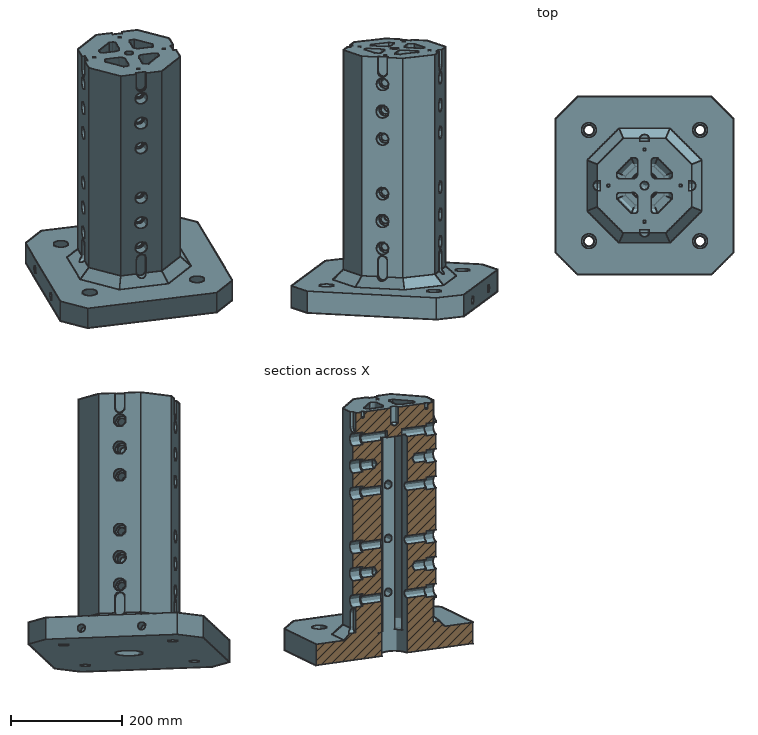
import cadquery as cq
import math

PLATE_SIZE = 320.0
PLATE_HEIGHT = 40.0
PLATE_CHAMFER = 40.0
MOUNT_OFFSET = 100.0
MOUNT_DIAMETER = 18.0
MOUNT_BORE_DIAMETER = 26.0
MOUNT_BORE_DEPTH = 25.0
LIFT_OFFSET = 55.0
LIFT_HEIGHT = 18.0
LIFT_DIAMETER = 14.0
LIFT_DEPTH = 30.0

TOTAL_HEIGHT = 460.0
COLUMN_WIDTH = 170.0
COLUMN_CORNER_CUT = 47.0
FLARE = 18.0

WALL = 35.5
WEB_HALF = 12.5
POCKET_INNER_RADIUS = 9.5
POCKET_OUTER_RADIUS = 5.0
POCKET_FLOOR_RADIUS = 15.0
CORE_DIAMETER = 50.0
CORE_TOP = 405.3

TOP_ROW_HEIGHT = 410.5
BOTTOM_ROW_HEIGHT = 110.0
DEEP_ROWS = (0, 2, 4, 6)
TAPPED_ROWS = (1, 5)
ROW_PITCH = (TOP_ROW_HEIGHT - BOTTOM_ROW_HEIGHT) / DEEP_ROWS[-1]
SIDE_DIAMETER = 14.5
TAPPED_DIAMETER = 16.0
SIDE_DEPTH = 70.0
SIDE_BORE_DIAMETER = 22.0
TAPPED_BORE_DIAMETER = 23.0
SIDE_BORE_DEPTH = 20.2
TAPPED_DEPTH = 43.5

SLOT_WIDTH = 18.0
SLOT_DEPTH = 5.5
SLOT_TO_HOLE = 23.0
LOWER_SLOT_BOTTOM = 60.3

CENTRE_DIAMETER = 14.5
CENTRE_DEPTH = 30.0
PIN_DIAMETER = 5.0
PIN_OFFSET = 65.0
PIN_DEPTH = 10.0

DRILL_POINT_ANGLE = 118.0
SIDE_ANGLES = (0, 90, 180, 270)
HALF_WIDTH = COLUMN_WIDTH / 2


def octagon(inset):
    """Column octagon with every side moved inward by inset (outward if negative)."""
    half = HALF_WIDTH - inset
    half_flat = HALF_WIDTH - COLUMN_CORNER_CUT - inset * math.tan(math.radians(22.5))
    return cq.Workplane("XY").polyline([
        (half, -half_flat), (half, half_flat), (half_flat, half), (-half_flat, half),
        (-half, half_flat), (-half, -half_flat), (-half_flat, -half), (half_flat, -half),
    ]).close()


def drilled_hole(diameter, depth):
    """Cutter that runs down -Z from the origin and ends in a drill point."""
    radius = diameter / 2
    point = radius / math.tan(math.radians(DRILL_POINT_ANGLE / 2))
    profile = [(0, 0), (radius, 0), (radius, -depth), (0, -depth - point)]
    return cq.Workplane("XZ").polyline(profile).close().revolve(360, (0, 0, 0), (0, 1, 0))


def flat_hole(diameter, depth):
    """Cutter that runs down -Z from the origin and ends flat."""
    return cq.Workplane("XY").circle(diameter / 2).extrude(-depth)


def aim_at_front(cutter, face_y, x, z):
    """Turn a -Z cutter so that it enters a face at y = face_y in the +Y direction."""
    return cutter.rotate((0, 0, 0), (1, 0, 0), 90).translate((x, face_y, z))


def make_body():
    plate = cq.Workplane("XY").rect(PLATE_SIZE, PLATE_SIZE).extrude(PLATE_HEIGHT)
    plate = plate.edges("|Z").chamfer(PLATE_CHAMFER)
    column = octagon(0).extrude(TOTAL_HEIGHT - PLATE_HEIGHT)
    skirt = octagon(-FLARE).extrude(FLARE, taper=45)
    return plate.union(column.union(skirt).translate((0, 0, PLATE_HEIGHT)))


def make_hollow():
    depth = TOTAL_HEIGHT - PLATE_HEIGHT
    cavity = octagon(WALL).extrude(depth).faces("<Z").edges().fillet(POCKET_FLOOR_RADIUS)
    side = HALF_WIDTH - WALL - WEB_HALF
    quadrant = cq.Workplane("XY").rect(side, side, centered=False).extrude(depth)
    quadrant = quadrant.edges("|Z and <X and <Y").fillet(POCKET_INNER_RADIUS)
    quadrant = quadrant.edges("|Z and (>X and <Y)").fillet(POCKET_OUTER_RADIUS)
    quadrant = quadrant.edges("|Z and (<X and >Y)").fillet(POCKET_OUTER_RADIUS)
    pocket = cavity.intersect(quadrant.translate((WEB_HALF, WEB_HALF, 0)))
    pocket = pocket.translate((0, 0, PLATE_HEIGHT))

    hollow = cq.Workplane("XY").circle(CORE_DIAMETER / 2).extrude(CORE_TOP)
    for angle in SIDE_ANGLES:
        hollow = hollow.union(pocket.rotate((0, 0, 0), (0, 0, 1), angle))
    return hollow


def slot(bottom, top):
    """Key slot in the front face between the centres of its two round ends."""
    length = top - bottom + SLOT_WIDTH
    cutter = cq.Workplane("XY").slot2D(length, SLOT_WIDTH, 90).extrude(SLOT_DEPTH + FLARE)
    floor_y = SLOT_DEPTH - HALF_WIDTH
    return cutter.rotate((0, 0, 0), (1, 0, 0), 90).translate((0, floor_y, (bottom + top) / 2))


def make_face_cuts():
    """Holes and slots of the front main face, with the pin hole in the top above it."""
    open_end = TOTAL_HEIGHT + SLOT_WIDTH
    cuts = slot(TOP_ROW_HEIGHT + SLOT_TO_HOLE, open_end)
    cuts = cuts.union(slot(LOWER_SLOT_BOTTOM, BOTTOM_ROW_HEIGHT - SLOT_TO_HOLE))

    deep = flat_hole(SIDE_DIAMETER, SIDE_DEPTH)
    deep = deep.union(flat_hole(SIDE_BORE_DIAMETER, SIDE_BORE_DEPTH))
    tapped = drilled_hole(TAPPED_DIAMETER, TAPPED_DEPTH)
    tapped = tapped.union(flat_hole(TAPPED_BORE_DIAMETER, SIDE_BORE_DEPTH))
    for rows, cutter in ((DEEP_ROWS, deep), (TAPPED_ROWS, tapped)):
        for row in rows:
            height = TOP_ROW_HEIGHT - row * ROW_PITCH
            cuts = cuts.union(aim_at_front(cutter, -HALF_WIDTH, 0, height))

    pin = drilled_hole(PIN_DIAMETER, PIN_DEPTH).translate((0, -PIN_OFFSET, TOTAL_HEIGHT))
    return cuts.union(pin)


def make_mount_hole():
    hole = flat_hole(MOUNT_DIAMETER, PLATE_HEIGHT)
    hole = hole.union(flat_hole(MOUNT_BORE_DIAMETER, MOUNT_BORE_DEPTH))
    return hole.translate((MOUNT_OFFSET, MOUNT_OFFSET, PLATE_HEIGHT))


result = make_body().cut(make_hollow())

face_cuts = make_face_cuts()
mount_hole = make_mount_hole()
for angle in SIDE_ANGLES:
    result = result.cut(face_cuts.rotate((0, 0, 0), (0, 0, 1), angle))
    result = result.cut(mount_hole.rotate((0, 0, 0), (0, 0, 1), angle))

result = result.cut(drilled_hole(CENTRE_DIAMETER, CENTRE_DEPTH).translate((0, 0, TOTAL_HEIGHT)))

lift_hole = drilled_hole(LIFT_DIAMETER, LIFT_DEPTH)
for x in (-LIFT_OFFSET, LIFT_OFFSET):
    result = result.cut(aim_at_front(lift_hole, -PLATE_SIZE / 2, x, LIFT_HEIGHT))